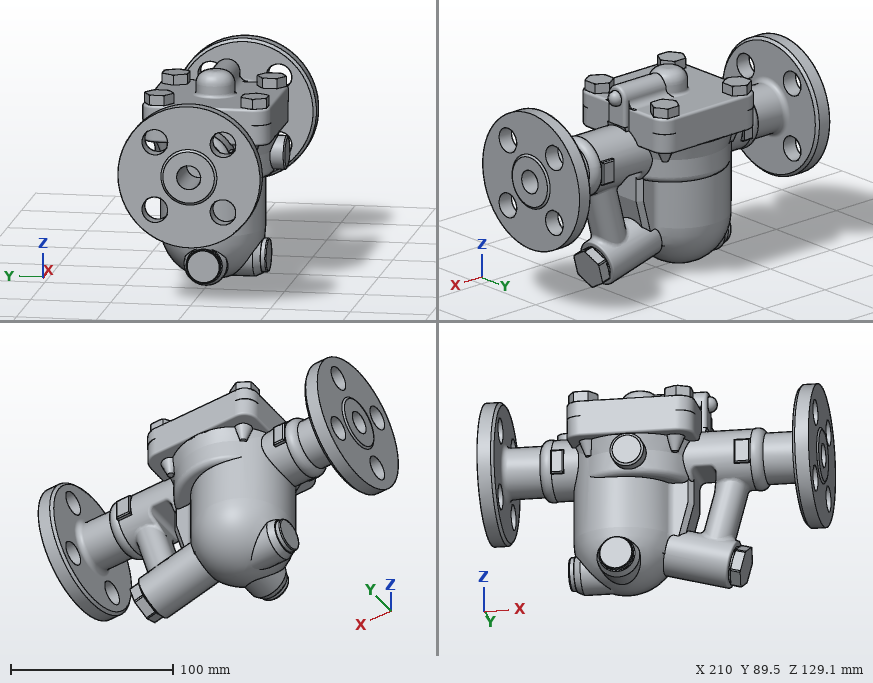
import cadquery as cq
import math

overall_length = 210.0
pipe_radius = 16.0
bore_diameter = 15.0
barrel_radius = 19.0
barrel_end = 70.0
barrel_shoulder_length = 7.5
barrel_bulge = 0.3

flange_diameter = 89.0
flange_thickness = 10.4
flange_chamfer = 1.8
raised_face_radius = 17.5
raised_face_height = 1.0
raised_face_taper = 1.4
hub_fillet = 3.5
flange_hole_diameter = 16.0
flange_hole_circle = 60.3

pad_outer_x = 62.5
pad_height = 15.0
pad_half_width = 20.2
pad_chamfer = 0.8
inlet_pad_length = 8.0
outlet_pad_length = 10.0

chamber_x = -18.6
chamber_radius = 32.5
chamber_sphere_z = -49.2

neck_x = -11.5
neck_radius = 37.0
neck_top_radius = 39.5
neck_shoulder_z = -1.0
neck_bottom_z = -16.5
neck_bottom_fillet = 4.0

cover_x = -10.0
cover_size = 80.0
body_flange_corner_radius = 10.0
cover_corner_radius = 9.4
body_flange_bottom_z = 9.0
body_flange_fillet = 1.5
joint_z = 22.0
cover_top_z = 32.0
cover_edge_fillet = 1.8

bolt_pitch = 60.0
bolt_across_flats = 16.0
bolt_head_height = 6.4
bolt_head_chamfer = 0.5
lug_inset = 3.0
lug_top_radius = 6.0
lug_tip_radius = 2.0
lug_tip_z = -0.5

dome_radius = 12.0
dome_top_z = 47.2
dome_round = 8.0
dome_foot_fillet = 2.0
tube_radius = 8.0
tube_z = 37.3
tube_end_x = 33.3
tube_end_fillet = 2.0
tube_foot_fillet = 5.0
tube_skirt_z = 20.0
tip_radius = 5.0

top_boss_x = -55.0
top_boss_radius = 6.7
top_boss_z = 22.0

plug_radius = 10.5
plug_face_chamfer = 0.8
upper_plug_face_radius = 9.0
lower_plug_face_radius = 10.0
upper_plug_z = -3.0
upper_plug_face_y = -45.0
lower_plug_z = -66.2
lower_plug_face_y = -35.0
side_plug_z = -67.5
side_plug_face_x = -53.2
plug_boss_radius = 13.4
plug_boss_cone_radius = 11.3
plug_length = 3.5
plug_boss_cone_length = 4.5

strainer_tilt = 15.0
strainer_radius = 15.0
strainer_length = 70.0
strainer_end_fillet = 1.0
cap_collar_radius = 11.5
cap_collar_length = 1.2
cap_across_flats = 23.0
cap_corner_radius = 12.98
cap_end = 77.8

leg_offset = 56.2
leg_width = 19.0
leg_depth = 22.0
leg_corner_radius = 8.5
leg_height = 52.0
leg_foot_fillet = 3.0
leg_top_fillet = 2.5

web_x = 25.5
web_half_thickness = 13.0
web_root_fillet = 4.5
web_edge_chamfer = 3.2
web_knee_z = -30.0
web_foot_z = -62.0
window_top_z = -8.0
window_corner_radius = 3.0
window_rim_fillet = 2.0

web_slack = 1.0
joint_slack = 0.1
root_reach = 2.0
rim_drop = 4.5
foot_reach_x = 3.0
foot_reach_z = 3.0
foot_clearance_z = 5.0

tilt_sin = math.sin(math.radians(strainer_tilt))
tilt_cos = math.cos(math.radians(strainer_tilt))
tilt_tan = tilt_sin / tilt_cos


def cylinder_x(x_start, x_end, radius, z=0.0):
    return cq.Workplane("YZ", origin=(x_start, 0, z)).circle(radius).extrude(x_end - x_start)


def square_plate(z_bottom, z_top, corner_radius):
    plate = cq.Workplane("XY", origin=(cover_x, 0, z_bottom)).rect(cover_size, cover_size)
    return plate.extrude(z_top - z_bottom).edges("|Z").fillet(corner_radius)


def flanged_pipe():
    """Inlet pipe with its flange, revolved about X; the outlet one is its mirror."""
    face_x = -overall_length / 2
    front_x = face_x + raised_face_height
    back_x = front_x + flange_thickness
    flange_radius = flange_diameter / 2
    fillet_mid = hub_fillet * (1 - math.sqrt(0.5))
    profile = (
        cq.Workplane("XY")
        .moveTo(face_x, 0)
        .lineTo(face_x, raised_face_radius - raised_face_taper)
        .lineTo(front_x, raised_face_radius)
        .lineTo(front_x, flange_radius)
        .lineTo(back_x - flange_chamfer, flange_radius)
        .lineTo(back_x, flange_radius - flange_chamfer)
        .lineTo(back_x, pipe_radius + hub_fillet)
        .threePointArc((back_x + fillet_mid, pipe_radius + fillet_mid), (back_x + hub_fillet, pipe_radius))
        .lineTo(-barrel_end, pipe_radius)
        .lineTo(-barrel_end, 0)
        .close()
    )
    pipe = profile.revolve(360, (0, 0, 0), (1, 0, 0))
    holes = (
        cq.Workplane("YZ", origin=(face_x, 0, 0))
        .polarArray(flange_hole_circle / 2, 45, 360, 4)
        .circle(flange_hole_diameter / 2)
        .extrude(flange_thickness + raised_face_height)
    )
    return pipe.cut(holes)


def barrel(x_inner):
    """Inlet barrel; its shoulder swells slightly and then rounds down to the pipe."""
    shoulder_x = -barrel_end + barrel_shoulder_length
    return (
        cq.Workplane("XY")
        .moveTo(-barrel_end, 0)
        .lineTo(-barrel_end, pipe_radius)
        .threePointArc(
            (shoulder_x - barrel_shoulder_length / 2, barrel_radius + barrel_bulge),
            (shoulder_x, barrel_radius),
        )
        .lineTo(x_inner, barrel_radius)
        .lineTo(x_inner, 0)
        .close()
        .revolve(360, (0, 0, 0), (1, 0, 0))
    )


def wrench_pads(x_outer, x_inner):
    pads = cq.Workplane("XY").box(abs(x_outer - x_inner), 2 * pad_half_width, pad_height)
    pads = pads.faces("<Y or >Y").chamfer(pad_chamfer)
    return pads.translate(((x_outer + x_inner) / 2, 0, 0))


def bore():
    return cylinder_x(-overall_length / 2, -barrel_end, bore_diameter / 2)


def chamber():
    wall_height = body_flange_bottom_z - chamber_sphere_z
    base = cq.Workplane("XY", origin=(chamber_x, 0, chamber_sphere_z))
    return base.circle(chamber_radius).extrude(wall_height).union(base.sphere(chamber_radius))


def neck():
    band = (
        cq.Workplane("XY", origin=(neck_x, 0, neck_bottom_z))
        .circle(neck_radius)
        .extrude(neck_shoulder_z - neck_bottom_z)
        .faces("<Z")
        .edges()
        .fillet(neck_bottom_fillet)
    )
    taper = (
        cq.Workplane("XY", origin=(neck_x, 0, neck_shoulder_z))
        .circle(neck_radius)
        .workplane(offset=body_flange_bottom_z - neck_shoulder_z)
        .circle(neck_top_radius)
        .loft()
    )
    return band.union(taper)


def cover():
    body_flange = square_plate(body_flange_bottom_z, joint_z, body_flange_corner_radius)
    body_flange = body_flange.faces("<Z").edges().fillet(body_flange_fillet)
    lid = square_plate(joint_z, cover_top_z, cover_corner_radius)
    lid = lid.faces(">Z").edges().fillet(cover_edge_fillet)
    return body_flange.union(lid)


def bolt_and_lug(side_x, side_y):
    """Hex bolt head on the cover and the tapered lug under the body flange."""
    x = cover_x + side_x * bolt_pitch / 2
    y = side_y * bolt_pitch / 2
    corner_diameter = bolt_across_flats / math.cos(math.radians(30))
    turn = 0 if side_x == side_y else 30
    head = cq.Workplane("XY").polygon(6, corner_diameter).extrude(bolt_head_height)
    rounding = (
        cq.Workplane("XY")
        .circle(corner_diameter / 2)
        .extrude(bolt_head_height)
        .faces(">Z")
        .chamfer(bolt_head_chamfer)
    )
    head = head.intersect(rounding).rotate((0, 0, 0), (0, 0, 1), turn).translate((x, y, cover_top_z))
    lug = (
        cq.Workplane("XY", origin=(x - side_x * lug_inset, y - side_y * lug_inset, lug_tip_z))
        .circle(lug_tip_radius)
        .workplane(offset=body_flange_bottom_z - lug_tip_z)
        .circle(lug_top_radius)
        .loft()
    )
    return head.union(lug)


def dome():
    body = (
        cq.Workplane("XY", origin=(cover_x, 0, cover_top_z))
        .circle(dome_radius)
        .extrude(dome_top_z - cover_top_z)
        .faces(">Z")
        .edges()
        .fillet(dome_round)
    )
    foot = (
        cq.Workplane("XZ", origin=(cover_x, 0, cover_top_z))
        .lineTo(dome_radius + dome_foot_fillet, 0)
        .radiusArc((dome_radius, dome_foot_fillet), dome_foot_fillet)
        .lineTo(0, dome_foot_fillet)
        .close()
        .revolve(360, (0, 0, 0), (0, 1, 0))
    )
    return body.union(foot)


def guide_tube():
    """Arched tube from the dome to the outlet side, its skirt outside the cover, and its tip."""
    arch = (
        cq.Workplane("YZ", origin=(cover_x, 0, 0))
        .moveTo(-tube_radius, tube_skirt_z)
        .lineTo(-tube_radius, tube_z)
        .threePointArc((0, tube_z + tube_radius), (tube_radius, tube_z))
        .lineTo(tube_radius, tube_skirt_z)
        .close()
        .extrude(tube_end_x - cover_x)
        .faces(">X")
        .edges("not <Z")
        .fillet(tube_end_fillet)
    )
    cover_edge_x = cover_x + cover_size / 2
    foot_reach = tube_radius + tube_foot_fillet
    foot_top_z = cover_top_z + tube_foot_fillet
    foot = (
        cq.Workplane("YZ", origin=(cover_x, 0, 0))
        .moveTo(-foot_reach, cover_top_z)
        .radiusArc((-tube_radius, foot_top_z), -tube_foot_fillet)
        .lineTo(tube_radius, foot_top_z)
        .radiusArc((foot_reach, cover_top_z), -tube_foot_fillet)
        .close()
        .extrude(cover_edge_x - cover_x)
    )
    skirt = (
        cq.Workplane("XZ")
        .moveTo(cover_x, tube_skirt_z)
        .lineTo(tube_end_x, tube_skirt_z)
        .lineTo(cover_edge_x, body_flange_bottom_z + body_flange_fillet)
        .lineTo(cover_x, body_flange_bottom_z + body_flange_fillet)
        .close()
        .extrude(tube_radius, both=True)
    )
    tip = cq.Workplane("XY", origin=(tube_end_x, 0, tube_z)).sphere(tip_radius)
    return arch.union(foot).union(skirt).union(tip)


def inlet_top_boss():
    """Round-ended boss on top of the inlet barrel, running into the body flange."""
    run = cover_x - cover_size / 2 - top_boss_x
    round_end = cq.Workplane("XY", origin=(top_boss_x, 0, 0)).circle(top_boss_radius).extrude(top_boss_z)
    straight = (
        cq.Workplane("XY", origin=(top_boss_x, -top_boss_radius, 0))
        .rect(run + body_flange_fillet, 2 * top_boss_radius, centered=False)
        .extrude(top_boss_z)
    )
    return round_end.union(straight)


def plug(length, face_radius):
    """Round plug along +Z from the origin, with a chamfered face."""
    body = cq.Workplane("XY").circle(plug_radius).extrude(length)
    return body.faces(">Z").chamfer(plug_face_chamfer, plug_radius - face_radius)


def bossed_plug(length):
    """Plug along +Z on a boss that tapers towards it."""
    cone_end = length - plug_length
    cone_start = cone_end - plug_boss_cone_length
    boss = (
        cq.Workplane("XZ")
        .lineTo(plug_boss_radius, 0)
        .lineTo(plug_boss_radius, cone_start)
        .lineTo(plug_boss_cone_radius, cone_end)
        .lineTo(0, cone_end)
        .close()
        .revolve(360, (0, 0, 0), (0, 1, 0))
    )
    return boss.union(plug(length, lower_plug_face_radius))


def facing_front(shape, x, z):
    """Turn a shape built along +Z to point along -Y."""
    return shape.rotate((0, 0, 0), (1, 0, 0), 90).translate((x, 0, z))


def plugs():
    upper = facing_front(plug(-upper_plug_face_y, upper_plug_face_radius), cover_x, upper_plug_z)
    lower = facing_front(bossed_plug(-lower_plug_face_y), chamber_x, lower_plug_z)
    side = (
        bossed_plug(chamber_x - side_plug_face_x)
        .rotate((0, 0, 0), (0, 1, 0), -90)
        .translate((chamber_x, 0, side_plug_z))
    )
    return upper.union(lower).union(side)


def tilt_into_place(shape):
    """Turn a shape built along +X to the strainer axis, starting from the sphere centre."""
    turned = shape.rotate((0, 0, 0), (0, 1, 0), strainer_tilt)
    return turned.translate((chamber_x, 0, chamber_sphere_z))


def strainer_tube():
    tube = cylinder_x(0, strainer_length, strainer_radius)
    return tilt_into_place(tube.faces(">X").edges().fillet(strainer_end_fillet))


def strainer_cap():
    """Hex cap, its corners trimmed round, on a short collar at the end of the strainer tube."""
    hex_start = strainer_length + cap_collar_length
    collar = cylinder_x(strainer_length, hex_start, cap_collar_radius)
    corner_diameter = cap_across_flats / math.cos(math.radians(30))
    cap = (
        cq.Workplane("YZ", origin=(hex_start, 0, 0))
        .polygon(6, corner_diameter)
        .extrude(cap_end - hex_start)
        .rotate((0, 0, 0), (1, 0, 0), 90)
        .intersect(cylinder_x(hex_start, cap_end, cap_corner_radius))
    )
    return tilt_into_place(collar.union(cap))


def leg():
    bar = cq.Workplane("XY", origin=(leg_offset, 0, 0)).rect(leg_width, leg_depth).extrude(leg_height)
    return tilt_into_place(bar.edges("|Z").fillet(leg_corner_radius))


def edges_between(low_x, high_x, low_z, high_z):
    """Selector for edges whose middle lies in a band of X and Z, at any Y."""
    return cq.selectors.BoxSelector((low_x, -cover_size, low_z), (high_x, cover_size, high_z))


def chamber_with_web():
    """Chamber with a flat web on its outlet side; the web's lower edge is parallel to the leg."""
    foot_x = web_x - (web_knee_z - web_foot_z) * tilt_tan
    low_z = web_foot_z + web_slack
    high_z = body_flange_bottom_z - web_slack
    plate = (
        cq.Workplane("XZ")
        .moveTo(chamber_x, body_flange_bottom_z)
        .lineTo(web_x, body_flange_bottom_z)
        .lineTo(web_x, web_knee_z)
        .lineTo(foot_x, web_foot_z)
        .lineTo(chamber_x, web_foot_z)
        .close()
        .extrude(web_half_thickness, both=True)
        .edges(edges_between(foot_x, web_x + web_slack, low_z, high_z))
        .edges("not |Y")
        .chamfer(web_edge_chamfer)
    )
    root_x = chamber_x + math.sqrt(chamber_radius**2 - web_half_thickness**2)
    root_edges = edges_between(root_x - root_reach, root_x + web_slack, low_z, high_z)
    return chamber().union(plate).edges(root_edges).fillet(web_root_fillet)


def window():
    """Opening through Y between the web and the leg, notched into the outlet barrel."""
    inner_offset = leg_offset - leg_width / 2
    leg_edge_x = chamber_x + inner_offset / tilt_cos + (window_top_z - chamber_sphere_z) * tilt_tan
    bottom_z = web_knee_z
    bottom_x = leg_edge_x - (window_top_z - bottom_z) * tilt_tan
    return (
        cq.Workplane("XZ")
        .moveTo(web_x, window_top_z)
        .lineTo(leg_edge_x, window_top_z)
        .lineTo(bottom_x, bottom_z)
        .lineTo(web_x, bottom_z)
        .close()
        .extrude(barrel_radius, both=True)
        .edges("|Y and >Z")
        .fillet(window_corner_radius)
    )


def outlet_and_strainer():
    """Outlet barrel, leg and strainer tube, with rounded joints and the window between them."""
    leg_foot_x = chamber_x + leg_offset * tilt_cos
    leg_foot_z = chamber_sphere_z - leg_offset * tilt_sin
    leg_top_x = leg_foot_x - leg_foot_z * tilt_tan
    barrel_side_z = -math.sqrt(barrel_radius**2 - (leg_depth / 2) ** 2)
    top_joint = edges_between(
        leg_top_x - leg_width,
        leg_top_x + leg_width,
        -barrel_radius - joint_slack,
        barrel_side_z + joint_slack,
    )
    window_rim = edges_between(
        web_x + joint_slack,
        leg_top_x - leg_width / 2,
        window_top_z - rim_drop,
        window_top_z + joint_slack,
    )
    foot_joint = edges_between(
        leg_foot_x - leg_width / 2,
        leg_foot_x + leg_width / 2 + foot_reach_x,
        leg_foot_z + foot_clearance_z,
        leg_foot_z + strainer_radius + foot_reach_z,
    )
    shape = barrel(-neck_x).mirror("YZ").union(leg()).edges(top_joint).fillet(leg_top_fillet)
    shape = shape.cut(window()).edges(window_rim).edges("not |Y").fillet(window_rim_fillet)
    return shape.union(strainer_tube()).edges(foot_joint).fillet(leg_foot_fillet)


result = chamber_with_web().union(neck()).union(outlet_and_strainer()).union(strainer_cap())
result = result.union(barrel(chamber_x))
result = result.union(flanged_pipe()).union(flanged_pipe().mirror("YZ"))
result = result.union(wrench_pads(-pad_outer_x, -pad_outer_x + inlet_pad_length))
result = result.union(wrench_pads(pad_outer_x, pad_outer_x - outlet_pad_length))
result = result.union(inlet_top_boss()).union(plugs()).union(cover()).union(guide_tube()).union(dome())
for side_x in (-1, 1):
    for side_y in (-1, 1):
        result = result.union(bolt_and_lug(side_x, side_y))
result = result.cut(bore()).cut(bore().mirror("YZ"))